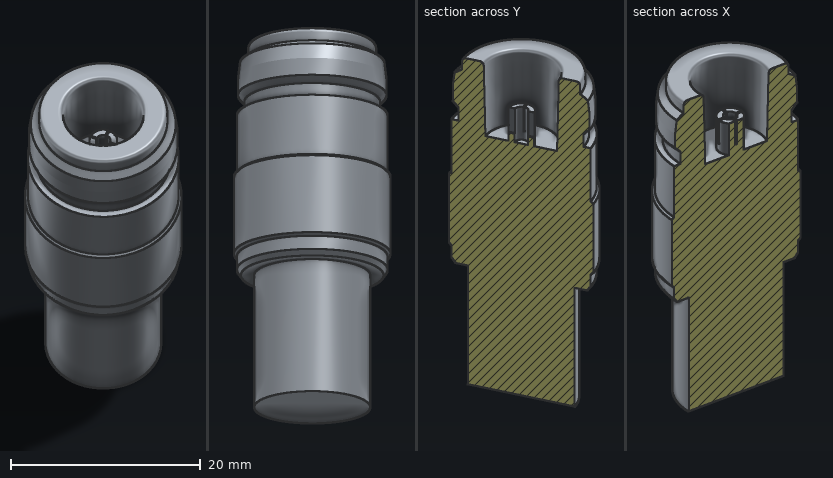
import cadquery as cq

height = 39.8
shank_top = 14.5
base_chamfer_top = 15.1
collar_bottom = 16.5
body_bottom = 16.85
body_top = 25.27
sleeve_bottom = 25.5
sleeve_top = 32.0
head_chamfer_bottom = 33.5
head_bottom = 34.23
head_top = 36.05
head_taper_top = 37.75
nose_bottom = 38.33

shank_radius = 6.13
base_radius = 7.52
sleeve_radius = 7.95
body_diameter = 16.5
body_radius = body_diameter / 2
neck_radius = 7.15
head_radius = 7.85
head_taper_radius = 7.65
nose_radius = 6.75
rim_fillet = 0.5

bore_mouth_radius = 4.25
bore_floor_radius = 4.05
bore_depth = 9.0

contact_radius = 1.47
contact_hole_radius = 0.75
contact_recess = 4.98
contact_slot_width = 0.15
contact_slot_depth = 3.0

floor_z = height - bore_depth
contact_top = height - contact_recess


def make_shell():
    """Turned outer body with its tapered socket and rounded rim."""
    profile = [
        (0, 0),
        (shank_radius, 0),
        (shank_radius, shank_top),
        (base_radius, shank_top),
        (sleeve_radius, base_chamfer_top),
        (sleeve_radius, collar_bottom),
        (body_radius, body_bottom),
        (body_radius, body_top),
        (sleeve_radius, sleeve_bottom),
        (sleeve_radius, sleeve_top),
        (neck_radius, sleeve_top),
        (neck_radius, head_chamfer_bottom),
        (head_radius, head_bottom),
        (head_radius, head_top),
        (head_taper_radius, head_taper_top),
        (nose_radius, nose_bottom),
        (nose_radius, height),
        (bore_mouth_radius, height),
        (bore_floor_radius, floor_z),
        (0, floor_z),
    ]
    shell = cq.Workplane("XZ").polyline(profile).close().revolve(360, (0, 0), (0, 1))
    return shell.faces(">Z").edges().fillet(rim_fillet)


def make_contact():
    """Hollow contact split into four fingers by two crossing slots."""
    contact = (
        cq.Workplane("XY").workplane(offset=floor_z)
        .circle(contact_radius).circle(contact_hole_radius)
        .extrude(contact_top - floor_z)
    )
    slot = (
        cq.Workplane("XY").workplane(offset=contact_top)
        .rect(2 * bore_floor_radius, contact_slot_width)
        .extrude(-contact_slot_depth)
    )
    for angle in (0, 90):
        contact = contact.cut(slot.rotate((0, 0, 0), (0, 0, 1), angle))
    return contact


result = make_shell().union(make_contact())